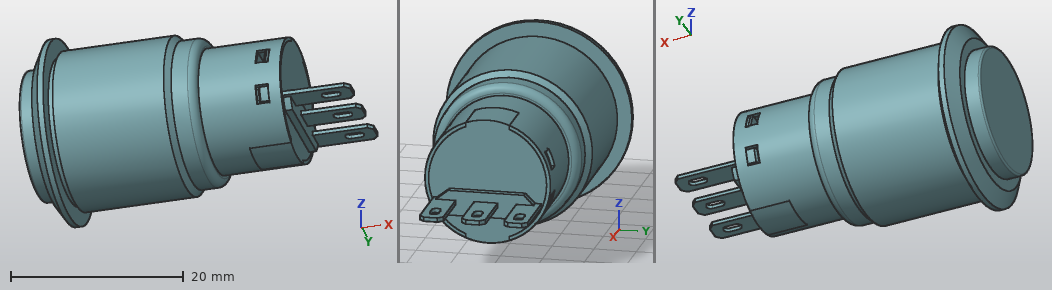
import cadquery as cq
import math


flange_front = 1.93
flange_edge = 3.1
flange_rear = 3.8
sleeve_front = 4.5
sleeve_rear = 18.6
bezel_rear = 21.5
key_front = 26.3
casing_rear = 31.3
boss_rear = 32.15
overall_length = 39.3

button_diameter = 15.5
button_fillet = 0.25
flange_diameter = 22.0
flange_face_diameter = 18.25
neck_diameter = 17.5
sleeve_diameter = 18.9
sleeve_chamfer = (sleeve_diameter - neck_diameter) / 2
bezel_fillet = 1.0
casing_diameter = 14.9
casing_bore = 14.0
hook_diameter = 14.7
boss_diameter = 13.05

window_front = 28.3
window_rear = 29.8
window_height = 2.05
window_offset = 2.5

upper_hook_front = 29.25
upper_hook_nose_diameter = 14.45
lower_hook_front = 28.55
lower_hook_height = 1.6
hook_lead_in = 0.25

key_width = 5.2

terminal_pitch = 5.0
terminal_width = 2.8
terminal_thickness = 0.5
terminal_chamfer = 0.6
terminal_root = 29.3
terminal_z = -2.5
eye_center = 36.8
eye_length = 2.25
eye_width = 1.05

boss_top = -1.1
boss_bottom = -4.1
boss_flat_half_width = 4.48
boss_plus_y_slope = 45.0
boss_minus_y_slope = 38.0


def cylinder(start, end, diameter):
    """Cylinder about the X axis between two axial stations."""
    return cq.Workplane("YZ", origin=(start, 0, 0)).circle(diameter / 2).extrude(end - start)


def block(x_min, x_max, y_size, z_size, y=0.0, z=0.0):
    """Box between two axial stations, centred on (y, z) across the axis."""
    length = x_max - x_min
    return cq.Workplane("XY").box(length, y_size, z_size).translate(((x_min + x_max) / 2, y, z))


def revolve_about_axis(points):
    """Solid of revolution about X from a closed (x, radius) outline."""
    return cq.Workplane("XY").polyline(points).close().revolve(360, (0, 0, 0), (1, 0, 0))


def make_button():
    button = cylinder(0, sleeve_front, button_diameter)
    return button.faces("<X").edges().fillet(button_fillet)


def make_bezel():
    flange = revolve_about_axis([
        (flange_front, 0),
        (flange_front, flange_face_diameter / 2),
        (flange_edge, flange_diameter / 2),
        (flange_rear, flange_diameter / 2),
        (flange_rear, 0),
    ])
    neck = cylinder(flange_rear, bezel_rear, neck_diameter).faces(">X").edges().fillet(bezel_fillet)
    sleeve = revolve_about_axis([
        (sleeve_front, 0),
        (sleeve_front, sleeve_diameter / 2),
        (sleeve_rear - sleeve_chamfer, sleeve_diameter / 2),
        (sleeve_rear, neck_diameter / 2),
        (sleeve_rear, 0),
    ])
    bezel = flange.union(neck).union(sleeve)
    button_bore = cylinder(flange_front, sleeve_front, button_diameter)
    casing_seat = cylinder(sleeve_front, bezel_rear, casing_diameter)
    return bezel.cut(button_bore).cut(casing_seat)


def make_key_block():
    """Upright block that spans the casing, as wide as the keys at its top and bottom."""
    return block(key_front, casing_rear, key_width, casing_diameter)


def make_casing():
    casing = cylinder(sleeve_front, casing_rear, casing_diameter)
    casing = casing.cut(cylinder(key_front, casing_rear, casing_bore)).cut(make_key_block())
    for z in (window_offset, -window_offset):
        casing = casing.cut(block(window_front, window_rear, casing_diameter, window_height, z=z))
    return casing


def make_hooks(front, nose_diameter, height, z):
    """Pair of hooks on both sides, with a lead-in slope at the front."""
    ring = revolve_about_axis([
        (front, 0),
        (front, nose_diameter / 2),
        (front + hook_lead_in, hook_diameter / 2),
        (window_rear, hook_diameter / 2),
        (window_rear, 0),
    ])
    return ring.intersect(block(front, window_rear, hook_diameter, height, z=z))


def make_boss():
    """Raised boss: flat top, sloped shoulders, and ends rounded about the axis."""
    height = boss_top - boss_bottom
    plus_y_run = height / math.tan(math.radians(boss_plus_y_slope))
    minus_y_run = height / math.tan(math.radians(boss_minus_y_slope))
    outline = [
        (boss_flat_half_width, boss_top),
        (boss_flat_half_width + plus_y_run, boss_bottom),
        (-boss_flat_half_width - minus_y_run, boss_bottom),
        (-boss_flat_half_width, boss_top),
    ]
    prism = cq.Workplane("YZ", origin=(casing_rear, 0, 0)).polyline(outline).close()
    prism = prism.extrude(boss_rear - casing_rear)
    return prism.intersect(cylinder(casing_rear, boss_rear, boss_diameter))


def make_terminal(y):
    blade = block(terminal_root, overall_length, terminal_width, terminal_thickness, y, terminal_z)
    blade = blade.faces(">X").edges("|Z").chamfer(terminal_chamfer)
    eye = (
        cq.Workplane("XY", origin=(eye_center, y, terminal_z))
        .slot2D(eye_length, eye_width)
        .extrude(terminal_thickness, both=True)
    )
    return blade.cut(eye)


def make_base(terminals):
    base = cylinder(key_front, casing_rear, casing_bore)
    keys = make_key_block().intersect(cylinder(key_front, casing_rear, casing_diameter))
    base = base.union(keys)
    base = base.cut(block(window_front, upper_hook_front, casing_diameter, window_height, z=window_offset))
    base = base.union(make_hooks(upper_hook_front, upper_hook_nose_diameter, window_height, window_offset))
    base = base.union(make_hooks(lower_hook_front, casing_bore, lower_hook_height, -window_offset))
    base = base.union(make_boss())
    for terminal in terminals:
        base = base.cut(terminal)
    return base


button = make_button()
bezel = make_bezel()
casing = make_casing()
terminals = [make_terminal(step * terminal_pitch) for step in (-1, 0, 1)]
base = make_base(terminals)

result = cq.Compound.makeCompound([
    button.solids().val(),
    bezel.solids().val(),
    casing.solids().val(),
    base.solids().val(),
    *[terminal.solids().val() for terminal in terminals],
])